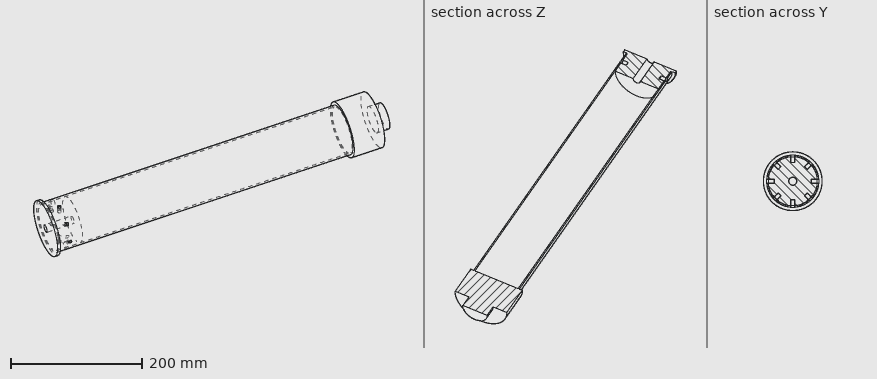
import cadquery as cq

total_length = 565.0
front_y = -total_length / 2
back_y = total_length / 2

flange_diameter = 90.0
flange_thickness = 5.0
spigot_length = 40.0
cap_hole_diameter = 12.0

tube_diameter = 79.5
tube_wall = 3.0
bore_diameter = tube_diameter - 2 * tube_wall

screw_hole_count = 8
screw_hole_diameter = 5.5
screw_hole_depth = 11.5
screw_hole_setback = 18.0

collar_diameter = flange_diameter
collar_length = 51.0
stub_diameter = 42.5
stub_length = 19.0

tube_front_y = front_y + flange_thickness
tube_back_y = back_y - stub_length - collar_length
tube_length = tube_back_y - tube_front_y
collar_back_y = back_y - stub_length
screw_hole_y = tube_front_y + screw_hole_setback


def rod(diameter, start_y, length):
    """Cylinder on the Y axis, running from start_y toward +Y."""
    plane = cq.Plane(origin=(0, start_y, 0), xDir=(0, 0, 1), normal=(0, 1, 0))
    return cq.Workplane(plane).circle(diameter / 2).extrude(length)


def screw_hole_cutters():
    """Drill shapes pointing inward from the tube surface, evenly spaced about Y."""
    drill = (
        cq.Workplane("XY", origin=(0, screw_hole_y, tube_diameter / 2 - screw_hole_depth))
        .circle(screw_hole_diameter / 2)
        .extrude(screw_hole_depth)
    )
    step = 360 / screw_hole_count
    return [drill.rotate((0, 0, 0), (0, 1, 0), i * step) for i in range(screw_hole_count)]


def drill_screw_holes(body):
    for cutter in screw_hole_cutters():
        body = body.cut(cutter)
    return body


def make_tube():
    tube = rod(tube_diameter, tube_front_y, tube_length)
    tube = tube.cut(rod(bore_diameter, tube_front_y, tube_length))
    return drill_screw_holes(tube)


def make_end_cap():
    flange = rod(flange_diameter, front_y, flange_thickness)
    spigot = rod(bore_diameter, tube_front_y, spigot_length)
    cap = flange.union(spigot)
    cap = cap.cut(rod(cap_hole_diameter, front_y, flange_thickness + spigot_length))
    return drill_screw_holes(cap)


def make_head():
    collar = rod(collar_diameter, tube_back_y, collar_length)
    stub = rod(stub_diameter, collar_back_y, stub_length)
    return collar.union(stub)


tube = make_tube()
end_cap = make_end_cap()
head = make_head()

result = cq.Compound.makeCompound([tube.val(), end_cap.val(), head.val()])